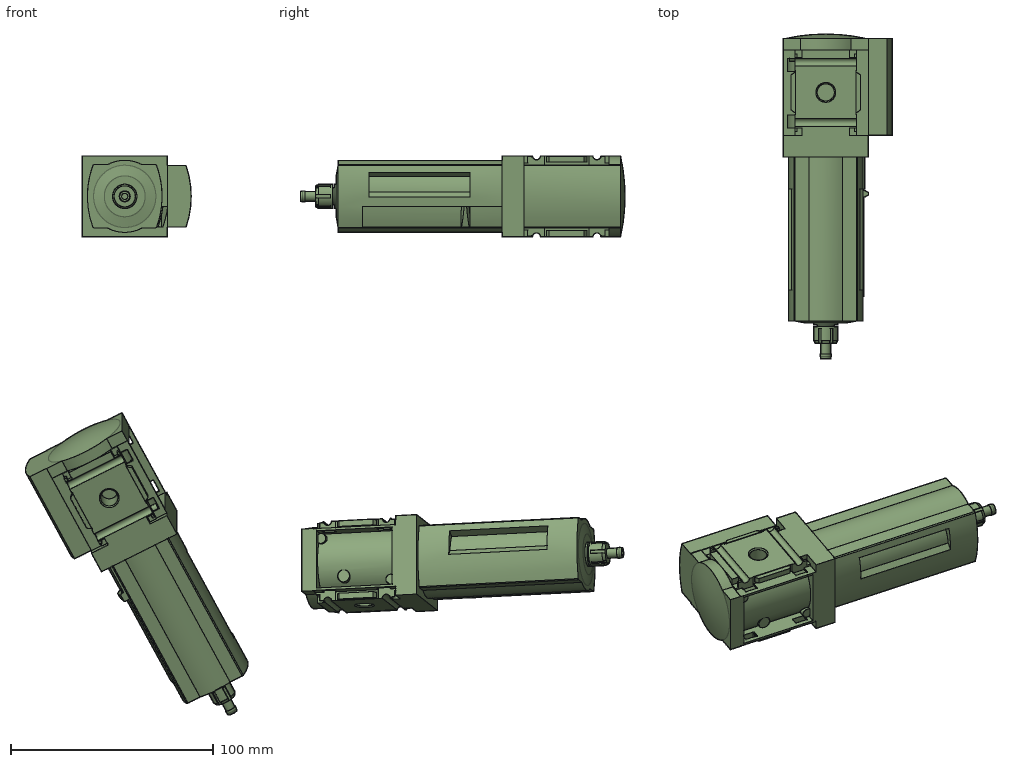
import cadquery as cq
import math


TOTAL_LENGTH = 160.5
HOUSING_LENGTH = 60.8
HOUSING_HALF_WIDTH = 21.0
HOUSING_HALF_HEIGHT = 20.0
HOUSING_BACK = 58.6
COLLAR_LENGTH = 10.8
SHELF_HEIGHT = 15.5
END_FLAT = 15.7
CAP_START = 52.8

PLATE_HALF_WIDTH = 15.2
PORT_Y = 32.0
PORT_DIAMETER = 8.5
PORT_CHAMFER = 0.6
PORT_DEPTH = 12.8
GROOVE_RADIUS = 2.0
GROOVE_OFFSET = 15.0
CORNER_HALF_WIDTH = 11.7
CORNER_LENGTH = 3.7
CORNER_FLOOR = 16.5
LEDGE_WIDTH = 1.1
LEDGE_LENGTH = 1.8
LEDGE_TOP = 19.6
TAB_REACH = 2.0
TAB_LENGTH = 19.9
TAB_CHAMFER = 1.3
TAB_BOTTOM = 16.9
TAB_TOP = 19.7
RELIEF_LENGTH = 21.8
RELIEF_DEPTH = 0.3

POCKET_START = 12.5
POCKET_END = 51.0
POCKET_HALF_HEIGHT = 14.5
CORE_RADIUS = 18.8
BOSS_FACE_X = -18.0
BOSSES = [
    (38.0, -8.3, 6.1),
    (49.6, 11.0, 5.0),
    (14.0, -11.2, 5.0),
]
SLOT_WIDTH = 3.5
SLOT_LENGTH = 6.5
SLOT_MIDDLES = (45.6, 17.7)

COVER_EDGE_X = 30.3
COVER_CROWN_X = 32.9
COVER_HALF_HEIGHT = 15.2

BOWL_LENGTH = 81.0
BOWL_RADIUS = 17.8
BOWL_FLAT = 15.7
BOWL_HALF_WIDTH = 18.5
BOWL_CORNER_X = 15.5
BOWL_CHAMFER = 0.5
CONE_BASE_RADIUS = 15.4
CONE_TOP_RADIUS = 10.1
CONE_HEIGHT = 1.0

WINDOW_START = 15.7
WINDOW_LENGTH = 50.0
WINDOW_TOP = 11.9
WINDOW_BOTTOM = -0.3
WINDOW_FLOOR_TOP = 9.8
WINDOW_FLOOR_BOTTOM = 2.1
WINDOW_FLOOR_RADIUS = 16.0

LATCH_TOP = -5.1
LATCH_BOTTOM = -15.1
LATCH_ROOT_X = 12.8
LATCH_THICKNESS = 1.1
LATCH_LENGTH = 15.9
STRIP_THICKNESS = 0.6
STRIP_LENGTH = 69.0
BUTTON_THICKNESS = 3.0
BUTTON_BASE = 4.5
BUTTON_TIP = 1.3

KNOB_RADIUS = 12.0 / 2
NECK_RADIUS = 8.5 / 2
STEM_RADIUS = 5.0 / 2
BARB_RADIUS = 5.5 / 2
BORE_DIAMETER = 3.0
BORE_DEPTH = 8.0
FLANGE_END = 83.0
KNOB_START = 83.8
KNOB_END = 92.1
KNOB_CHAMFER_LENGTH = 1.5
KNOB_CHAMFER_DEPTH = 0.8
BARB_START = 97.3
BARB_END = 98.5
DRAIN_END = TOTAL_LENGTH - HOUSING_LENGTH
KNOB_SLOTS = 6
KNOB_SLOT_WIDTH = 1.6
KNOB_SLOT_DEPTH = 0.8
KNOB_SLOT_START = 84.7


def block(x_range, y_range, z_range):
    """Box between two limits on each axis, given in either order."""
    spans = [sorted(limits) for limits in (x_range, y_range, z_range)]
    size = [high - low for low, high in spans]
    corner = tuple(low for low, high in spans)
    return cq.Workplane("XY").box(*size, centered=False).translate(corner)


def rod_along_y(radius, start, end):
    """Cylinder on the Y axis from y = start to y = end."""
    return cq.Workplane("XZ", origin=(0, end, 0)).circle(radius).extrude(end - start)


def both_sides(half_width):
    return (-half_width, half_width)



def end_cap():
    """Round section at the back of the housing with its domed end."""
    section = rod_along_y(HOUSING_HALF_HEIGHT, CAP_START, HOUSING_BACK)
    rise = HOUSING_LENGTH - HOUSING_BACK
    dome_radius = (HOUSING_HALF_HEIGHT ** 2 + rise ** 2) / (2 * rise)
    mid_x = HOUSING_HALF_HEIGHT / 2
    mid_y = HOUSING_LENGTH - dome_radius + math.sqrt(dome_radius ** 2 - mid_x ** 2)
    dome = (
        cq.Workplane("XY")
        .moveTo(0, HOUSING_BACK)
        .lineTo(HOUSING_HALF_HEIGHT, HOUSING_BACK)
        .threePointArc((mid_x, mid_y), (0, HOUSING_LENGTH))
        .close()
        .revolve(360, (0, 0, 0), (0, 1, 0))
    )
    return section.union(dome)


def plate_tab(side):
    """Chamfered tab on one side edge of the upper port plate."""
    half = TAB_LENGTH / 2
    outer_x = PLATE_HALF_WIDTH + TAB_REACH
    points = [
        (PLATE_HALF_WIDTH - TAB_REACH, PORT_Y - half),
        (PLATE_HALF_WIDTH, PORT_Y - half),
        (outer_x, PORT_Y - half + TAB_CHAMFER),
        (outer_x, PORT_Y + half - TAB_CHAMFER),
        (PLATE_HALF_WIDTH, PORT_Y + half),
        (PLATE_HALF_WIDTH - TAB_REACH, PORT_Y + half),
    ]
    return (
        cq.Workplane("XY", origin=(0, 0, TAB_BOTTOM))
        .polyline([(side * x, y) for x, y in points])
        .close()
        .extrude(TAB_TOP - TAB_BOTTOM)
    )


def port_plate():
    """Port plate on the +Z side, with grooves, corner notches, edge reliefs and tabs."""
    plate = block(
        both_sides(PLATE_HALF_WIDTH),
        (COLLAR_LENGTH, CAP_START),
        (SHELF_HEIGHT, HOUSING_HALF_HEIGHT),
    )
    for groove_y in (PORT_Y - GROOVE_OFFSET, PORT_Y + GROOVE_OFFSET):
        groove = (
            cq.Workplane("YZ", origin=(-PLATE_HALF_WIDTH, 0, 0))
            .center(groove_y, HOUSING_HALF_HEIGHT)
            .circle(GROOVE_RADIUS)
            .extrude(2 * PLATE_HALF_WIDTH)
        )
        plate = plate.cut(groove)

    for side in (-1, 1):
        x_edge = side * PLATE_HALF_WIDTH
        x_inner = side * CORNER_HALF_WIDTH
        x_ledge = side * (PLATE_HALF_WIDTH - LEDGE_WIDTH)
        for end_y, inward in ((COLLAR_LENGTH, 1), (CAP_START, -1)):
            notch_end = end_y + inward * CORNER_LENGTH
            ledge_end = notch_end - inward * LEDGE_LENGTH
            notch = block((x_inner, x_edge), (end_y, notch_end), (CORNER_FLOOR, HOUSING_HALF_HEIGHT))
            ledge = block((x_ledge, x_edge), (ledge_end, notch_end), (CORNER_FLOOR, LEDGE_TOP))
            plate = plate.cut(notch).union(ledge)
        relief = block(
            (side * (PLATE_HALF_WIDTH - RELIEF_DEPTH), x_edge),
            (PORT_Y - RELIEF_LENGTH / 2, PORT_Y + RELIEF_LENGTH / 2),
            (SHELF_HEIGHT, HOUSING_HALF_HEIGHT),
        )
        plate = plate.cut(relief).union(plate_tab(side))
    return plate


def port():
    """Blind port hole in the +Z side with a chamfered mouth."""
    radius = PORT_DIAMETER / 2
    bottom = HOUSING_HALF_HEIGHT - PORT_DEPTH
    profile = [
        (0, bottom),
        (radius, bottom),
        (radius, HOUSING_HALF_HEIGHT - PORT_CHAMFER),
        (radius + PORT_CHAMFER, HOUSING_HALF_HEIGHT),
        (0, HOUSING_HALF_HEIGHT),
    ]
    return (
        cq.Workplane("XZ")
        .polyline(profile)
        .close()
        .revolve(360, (0, 0, 0), (0, 1, 0))
        .translate((0, PORT_Y, 0))
    )


def side_pocket():
    """Open pocket on the -X side around the round core and its three bosses."""
    pocket = block(
        (-HOUSING_HALF_WIDTH, 0),
        (POCKET_START, POCKET_END),
        both_sides(POCKET_HALF_HEIGHT),
    )
    pocket = pocket.cut(rod_along_y(CORE_RADIUS, POCKET_START, POCKET_END))
    for boss_y, boss_z, diameter in BOSSES:
        boss = (
            cq.Workplane("YZ", origin=(BOSS_FACE_X, boss_y, boss_z))
            .circle(diameter / 2)
            .extrude(-BOSS_FACE_X)
        )
        pocket = pocket.cut(boss)
    return pocket


def pocket_slot(middle_y):
    """Slot beside the port plates, from the shelves into the side pocket."""
    x_range = (-PLATE_HALF_WIDTH - SLOT_WIDTH, -PLATE_HALF_WIDTH)
    y_range = (middle_y - SLOT_LENGTH / 2, middle_y + SLOT_LENGTH / 2)
    upper = block(x_range, y_range, (POCKET_HALF_HEIGHT, SHELF_HEIGHT))
    return upper.union(upper.mirror("XY"))


def side_cover():
    """Cover on the +X side with a convex outer face."""
    return (
        cq.Workplane("XZ", origin=(0, HOUSING_BACK, 0))
        .moveTo(HOUSING_HALF_WIDTH, -COVER_HALF_HEIGHT)
        .lineTo(COVER_EDGE_X, -COVER_HALF_HEIGHT)
        .threePointArc((COVER_CROWN_X, 0), (COVER_EDGE_X, COVER_HALF_HEIGHT))
        .lineTo(HOUSING_HALF_WIDTH, COVER_HALF_HEIGHT)
        .close()
        .extrude(HOUSING_BACK - COLLAR_LENGTH)
    )


def make_housing():
    width = both_sides(HOUSING_HALF_WIDTH)
    collar = block(width, (0, COLLAR_LENGTH), both_sides(HOUSING_HALF_HEIGHT))
    frame = block(width, (COLLAR_LENGTH, CAP_START), both_sides(SHELF_HEIGHT))
    back = block(width, (CAP_START, HOUSING_BACK), both_sides(END_FLAT))
    upper_plate = port_plate()
    upper_port = port()
    body = collar.union(frame).union(back).union(end_cap()).union(side_cover())
    body = body.union(upper_plate).union(upper_plate.mirror("XY"))
    body = body.cut(upper_port).cut(upper_port.mirror("XY"))
    body = body.cut(side_pocket())
    for middle_y in SLOT_MIDDLES:
        body = body.cut(pocket_slot(middle_y))
    return body.solids()



SIDE_SAG = BOWL_HALF_WIDTH - BOWL_CORNER_X
SIDE_RADIUS = (BOWL_FLAT ** 2 + SIDE_SAG ** 2) / (2 * SIDE_SAG)


def side_x(z):
    """X of the curved +X side of the bowl at height z."""
    return BOWL_HALF_WIDTH - SIDE_RADIUS + math.sqrt(SIDE_RADIUS ** 2 - z ** 2)


def bowl_shell():
    """Outer form of the bowl: curved sides, flats, round top and bottom."""
    flanks = (
        cq.Workplane("XZ")
        .moveTo(-BOWL_CORNER_X, -BOWL_FLAT)
        .lineTo(BOWL_CORNER_X, -BOWL_FLAT)
        .threePointArc((BOWL_HALF_WIDTH, 0), (BOWL_CORNER_X, BOWL_FLAT))
        .lineTo(-BOWL_CORNER_X, BOWL_FLAT)
        .threePointArc((-BOWL_HALF_WIDTH, 0), (-BOWL_CORNER_X, -BOWL_FLAT))
        .close()
        .extrude(BOWL_LENGTH)
        .edges("|Y")
        .chamfer(BOWL_CHAMFER)
    )
    return flanks.union(rod_along_y(BOWL_RADIUS, -BOWL_LENGTH, 0))


def window():
    """Flared sight window on the +X side, with a round floor."""
    outer_x = BOWL_HALF_WIDTH + LATCH_THICKNESS
    floor_top_x = math.sqrt(WINDOW_FLOOR_RADIUS ** 2 - WINDOW_FLOOR_TOP ** 2)
    floor_bottom_x = math.sqrt(WINDOW_FLOOR_RADIUS ** 2 - WINDOW_FLOOR_BOTTOM ** 2)
    floor_middle_angle = (
        math.asin(WINDOW_FLOOR_TOP / WINDOW_FLOOR_RADIUS)
        + math.asin(WINDOW_FLOOR_BOTTOM / WINDOW_FLOOR_RADIUS)
    ) / 2
    floor_middle = (
        WINDOW_FLOOR_RADIUS * math.cos(floor_middle_angle),
        WINDOW_FLOOR_RADIUS * math.sin(floor_middle_angle),
    )
    return (
        cq.Workplane("XZ", origin=(0, -WINDOW_START, 0))
        .moveTo(outer_x, WINDOW_BOTTOM)
        .lineTo(side_x(WINDOW_BOTTOM), WINDOW_BOTTOM)
        .lineTo(floor_bottom_x, WINDOW_FLOOR_BOTTOM)
        .threePointArc(floor_middle, (floor_top_x, WINDOW_FLOOR_TOP))
        .lineTo(side_x(WINDOW_TOP), WINDOW_TOP)
        .lineTo(outer_x, WINDOW_TOP)
        .close()
        .extrude(WINDOW_LENGTH)
    )


def latch_band(thickness, length):
    """Band lying on the curved +X side, from the joint along the bowl."""
    middle = (LATCH_TOP + LATCH_BOTTOM) / 2
    return (
        cq.Workplane("XZ")
        .moveTo(LATCH_ROOT_X, LATCH_TOP)
        .lineTo(side_x(LATCH_TOP) + thickness, LATCH_TOP)
        .threePointArc(
            (side_x(middle) + thickness, middle),
            (side_x(LATCH_BOTTOM) + thickness, LATCH_BOTTOM),
        )
        .lineTo(LATCH_ROOT_X, LATCH_BOTTOM)
        .close()
        .extrude(length)
    )


def latch():
    """Release latch: a thick band, a thin strip and a tapered push button."""
    button_middle = -LATCH_LENGTH - BUTTON_BASE / 2
    tip_x = side_x(LATCH_TOP) + BUTTON_THICKNESS
    base_x = side_x(LATCH_TOP)
    wedge = (
        cq.Workplane("XY", origin=(0, 0, LATCH_BOTTOM))
        .polyline([
            (LATCH_ROOT_X, button_middle - BUTTON_BASE / 2),
            (base_x, button_middle - BUTTON_BASE / 2),
            (tip_x, button_middle - BUTTON_TIP / 2),
            (tip_x, button_middle + BUTTON_TIP / 2),
            (base_x, button_middle + BUTTON_BASE / 2),
            (LATCH_ROOT_X, button_middle + BUTTON_BASE / 2),
        ])
        .close()
        .extrude(LATCH_TOP - LATCH_BOTTOM)
    )
    button = wedge.intersect(latch_band(BUTTON_THICKNESS, STRIP_LENGTH))
    strip = latch_band(STRIP_THICKNESS, STRIP_LENGTH)
    return strip.union(latch_band(LATCH_THICKNESS, LATCH_LENGTH)).union(button)


def bowl_end():
    """End cone and drain screw, turned around the bowl axis."""
    cone_end = BOWL_LENGTH + CONE_HEIGHT
    profile = [
        (0, BOWL_LENGTH),
        (CONE_BASE_RADIUS, BOWL_LENGTH),
        (CONE_TOP_RADIUS, cone_end),
        (KNOB_RADIUS, cone_end),
        (KNOB_RADIUS, FLANGE_END),
        (NECK_RADIUS, FLANGE_END),
        (NECK_RADIUS, KNOB_START),
        (KNOB_RADIUS, KNOB_START),
        (KNOB_RADIUS, KNOB_END - KNOB_CHAMFER_LENGTH),
        (KNOB_RADIUS - KNOB_CHAMFER_DEPTH, KNOB_END),
        (STEM_RADIUS, KNOB_END),
        (STEM_RADIUS, BARB_START),
        (BARB_RADIUS, BARB_START),
        (BARB_RADIUS, BARB_END),
        (STEM_RADIUS, DRAIN_END),
        (0, DRAIN_END),
    ]
    turned = (
        cq.Workplane("XY")
        .polyline([(radius, -distance) for radius, distance in profile])
        .close()
        .revolve(360, (0, 0, 0), (0, 1, 0))
    )
    slot = block(
        (KNOB_RADIUS - KNOB_SLOT_DEPTH, KNOB_RADIUS + KNOB_SLOT_DEPTH),
        (-KNOB_END, -KNOB_SLOT_START),
        both_sides(KNOB_SLOT_WIDTH / 2),
    )
    for index in range(KNOB_SLOTS):
        turned = turned.cut(slot.rotate((0, 0, 0), (0, 1, 0), index * 360 / KNOB_SLOTS))
    bore = rod_along_y(BORE_DIAMETER / 2, -DRAIN_END, BORE_DEPTH - DRAIN_END)
    return turned.cut(bore)


def make_bowl():
    right_window = window()
    body = bowl_shell().cut(right_window).cut(right_window.mirror("YZ"))
    return body.union(latch()).union(bowl_end()).solids()


housing = make_housing()
bowl = make_bowl()

result = cq.Compound.makeCompound([housing.val(), bowl.val()])